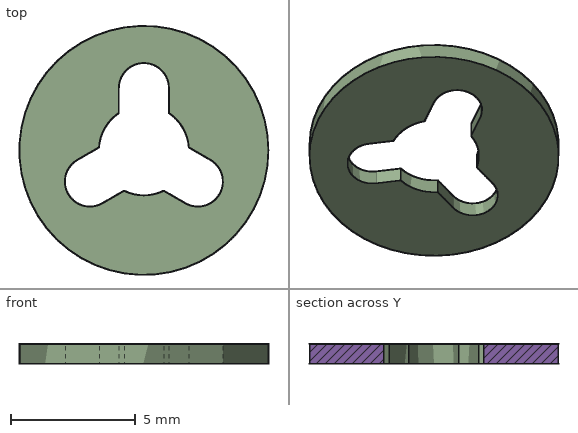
import cadquery as cq

disc_diameter = 10.0
thickness = 0.8

bore_diameter = 3.6
slot_width = 2.0
slot_end_center_radius = 2.5
slot_count = 3
first_slot_angle = 90.0


def slot_cutter(angle):
    """Slot running from the disc axis outward, with a round outer end."""
    straight = (
        cq.Workplane("XY")
        .center(slot_end_center_radius / 2, 0)
        .rect(slot_end_center_radius, slot_width)
        .extrude(thickness)
    )
    round_end = (
        cq.Workplane("XY")
        .center(slot_end_center_radius, 0)
        .circle(slot_width / 2)
        .extrude(thickness)
    )
    return straight.union(round_end).rotate((0, 0, 0), (0, 0, 1), angle)


disc = cq.Workplane("XY").circle(disc_diameter / 2).extrude(thickness)
bore = cq.Workplane("XY").circle(bore_diameter / 2).extrude(thickness)

result = disc.cut(bore)
for index in range(slot_count):
    result = result.cut(slot_cutter(first_slot_angle + index * 360 / slot_count))